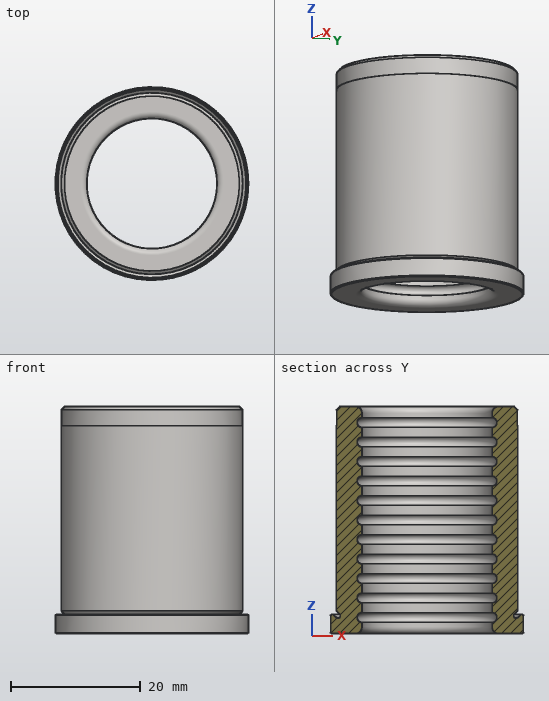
import cadquery as cq

length = 35.0
bore_radius = 10.0
body_radius = 14.0
flange_diameter = 29.8
flange_radius = flange_diameter / 2
flange_height = 3.0
flange_chamfer = 0.18

undercut = 0.5

pilot_length = 3.0
pilot_radius = body_radius - 0.05
pilot_chamfer = 0.5

mouth_radius = 1.0
groove_count = 11
groove_radius = 0.75
first_groove_height = 2.5
groove_pitch = (length - 2 * first_groove_height) / (groove_count - 1)


def make_sleeve():
    """Revolve the half section of the flanged sleeve about Z."""
    arc_offset = mouth_radius * (1 - 0.5 ** 0.5)
    mouth_edge = bore_radius + mouth_radius
    section = (
        cq.Workplane("XZ")
        .moveTo(mouth_edge, 0)
        .lineTo(flange_radius - flange_chamfer, 0)
        .lineTo(flange_radius, flange_chamfer)
        .lineTo(flange_radius, flange_height - flange_chamfer)
        .lineTo(flange_radius - flange_chamfer, flange_height)
        .lineTo(body_radius + undercut, flange_height)
        .lineTo(body_radius, flange_height - undercut)
        .threePointArc(
            (body_radius - undercut, flange_height - undercut),
            (body_radius - undercut, flange_height),
        )
        .lineTo(body_radius, flange_height + undercut)
        .lineTo(body_radius, length - pilot_length)
        .lineTo(pilot_radius, length - pilot_length)
        .lineTo(pilot_radius, length - pilot_chamfer)
        .lineTo(pilot_radius - pilot_chamfer, length)
        .lineTo(mouth_edge, length)
        .threePointArc(
            (bore_radius + arc_offset, length - arc_offset),
            (bore_radius, length - mouth_radius),
        )
        .lineTo(bore_radius, mouth_radius)
        .threePointArc((bore_radius + arc_offset, arc_offset), (mouth_edge, 0))
        .close()
    )
    return section.revolve(360, (0, 0, 0), (0, 1, 0))


def make_groove_ring(height):
    """Ring whose outer half cuts a semicircular groove into the bore wall."""
    return (
        cq.Workplane("XZ")
        .center(bore_radius, height)
        .circle(groove_radius)
        .revolve(360, (-bore_radius, 0, 0), (-bore_radius, 1, 0))
    )


result = make_sleeve()
for index in range(groove_count):
    result = result.cut(make_groove_ring(first_groove_height + index * groove_pitch))